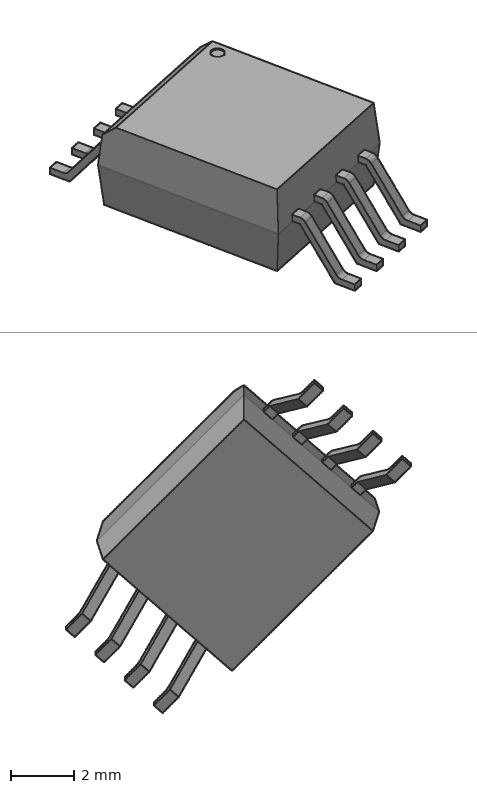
import cadquery as cq
import math

span = 11.5
body_length = 6.81
body_width = 5.85
overall_height = 3.38
standoff = 0.2
draft_angle = 5.0
bevel = 0.45

dimple_diameter = 0.46
dimple_depth = 0.06
dimple_x = -2.35
dimple_y = 2.36

lead_count = 4
lead_pitch = 1.26
lead_row_offset = -0.02
lead_width = 0.38
lead_thickness = 0.25
foot_length = 0.75
shoulder_reach = 2.07
lead_embed = 0.35

half_height = (overall_height - standoff) / 2
parting_z = standoff + half_height


def make_body():
    """Two tapered halves meeting at the parting plane, with a bevelled pin 1 edge."""
    upper = (
        cq.Workplane("XY")
        .workplane(offset=parting_z)
        .rect(body_length, body_width)
        .extrude(half_height, taper=draft_angle)
    )
    lower = upper.mirror("XY", (0, 0, parting_z))
    upper = upper.faces(">Z").edges("<X").chamfer(bevel)
    return upper.union(lower)


def make_lead():
    """One lead on the -X side, centred on Y = 0, its shoulder resting on the parting plane."""
    tip_x = -span / 2
    foot_x = tip_x + foot_length
    shoulder_x = tip_x + shoulder_reach
    root_x = -body_length / 2 + lead_embed
    shoulder_top = parting_z + lead_thickness

    slope = math.atan2(parting_z, shoulder_x - foot_x)

    inner_bend_x = foot_x - lead_thickness * math.tan(slope / 2)

    def around_shoulder(turn):
        return (
            shoulder_x - lead_thickness * math.sin(turn),
            parting_z + lead_thickness * math.cos(turn),
        )

    bend_center_x = inner_bend_x - lead_thickness * math.tan(slope / 2)
    bend_center_z = 2 * lead_thickness

    def around_foot_bend(turn):
        return (
            bend_center_x + lead_thickness * math.sin(turn),
            bend_center_z - lead_thickness * math.cos(turn),
        )

    profile = (
        cq.Workplane("XZ")
        .moveTo(tip_x, 0)
        .lineTo(foot_x, 0)
        .lineTo(shoulder_x, parting_z)
        .lineTo(root_x, parting_z)
        .lineTo(root_x, shoulder_top)
        .lineTo(shoulder_x, shoulder_top)
        .threePointArc(around_shoulder(slope / 2), around_shoulder(slope))
        .lineTo(*around_foot_bend(slope))
        .threePointArc(around_foot_bend(slope / 2), around_foot_bend(0))
        .lineTo(tip_x, lead_thickness)
        .close()
    )
    return profile.extrude(lead_width / 2, both=True)


def make_dimple():
    """Cutter for the shallow round pin 1 mark in the top face."""
    return (
        cq.Workplane("XY")
        .workplane(offset=overall_height - dimple_depth)
        .center(dimple_x, dimple_y)
        .circle(dimple_diameter / 2)
        .extrude(dimple_depth)
    )


result = make_body().cut(make_dimple())

left_lead = make_lead()
right_lead = left_lead.mirror("YZ")
for index in range(lead_count):
    lead_y = lead_row_offset + (index - (lead_count - 1) / 2) * lead_pitch
    for lead in (left_lead, right_lead):
        result = result.union(lead.translate((0, lead_y, 0)))